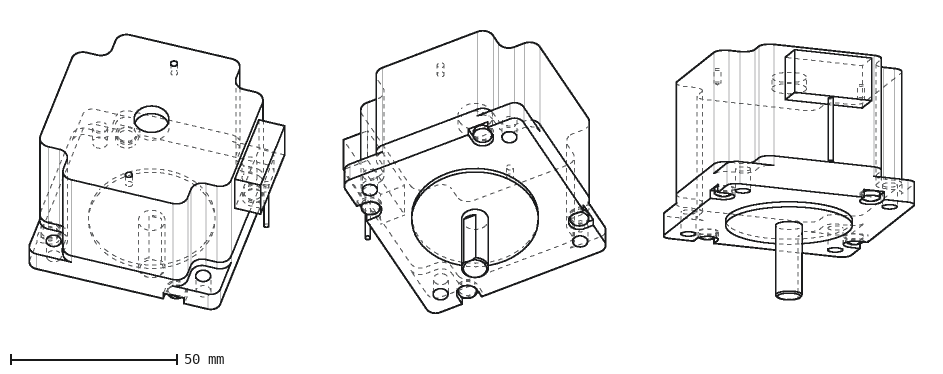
import cadquery as cq
import math


frame_side = 60.0
half_side = frame_side / 2
notch_size = 10.5
notch_radius = 3.5

plate_height = 7.0
plate_corner_radius = 3.05
collar_height = 3.0
seam_z = plate_height + collar_height
boss_diameter = 38.1
boss_height = 1.6
mount_hole_diameter = 4.5
mount_hole_offset = 23.5

screw_side_offset = 16.2
screw_edge_distance = 3.05
pocket_width = 6.55
pocket_height = 2.5
head_diameter = 5.6
head_rim_height = 1.45
head_dome_height = 0.9

shaft_diameter = 8.0
shaft_length = 22.35
shaft_chamfer = 0.5
flat_depth = 0.52
flat_start = 2.5

stator_height = 35.1
stator_top_z = seam_z + stator_height
center_hole_diameter = 10.5
center_hole_depth = 3.5
small_hole_diameter = 2.1
small_hole_offset = 23.05
small_hole_depth = 4.15
drill_point_angle = 118.0

connector_length = 8.15
connector_width = 24.6
connector_height = 13.4
connector_drop = 3.65
lead_diameter = 1.5
lead_x = 36.15
lead_length = 19.65


def notched_column(bottom_z, height):
    """Square column with a rounded notch along each vertical edge."""
    column = cq.Workplane("XY").workplane(offset=bottom_z).rect(frame_side, frame_side).extrude(height)
    notches = (
        cq.Workplane("XY")
        .workplane(offset=bottom_z)
        .rect(frame_side, frame_side, forConstruction=True)
        .vertices()
        .rect(2 * notch_size, 2 * notch_size)
        .extrude(height)
    )
    return column.cut(notches).edges("|Z").fillet(notch_radius)


def screw_pocket():
    """Round-ended slot that opens to the -Y side."""
    axis_y = screw_edge_distance - half_side
    round_end = (
        cq.Workplane("XY").center(screw_side_offset, axis_y).circle(pocket_width / 2).extrude(pocket_height)
    )
    opening = (
        cq.Workplane("XY")
        .center(screw_side_offset, axis_y - screw_edge_distance / 2)
        .rect(pocket_width, screw_edge_distance)
        .extrude(pocket_height)
    )
    return round_end.union(opening)


def screw_head():
    """Cylindrical head with a domed lower end, hanging from the pocket ceiling."""
    rim_radius = head_diameter / 2
    rim_z = pocket_height - head_rim_height
    dome_z = rim_z - head_dome_height
    dome_radius = (rim_radius**2 + head_dome_height**2) / (2 * head_dome_height)
    half_angle = math.asin(rim_radius / dome_radius) / 2
    dome_middle = (
        dome_radius * math.sin(half_angle),
        dome_z + dome_radius * (1 - math.cos(half_angle)),
    )
    profile = (
        cq.Workplane("XZ")
        .moveTo(0, pocket_height)
        .lineTo(rim_radius, pocket_height)
        .lineTo(rim_radius, rim_z)
        .threePointArc(dome_middle, (0, dome_z))
        .close()
    )
    return profile.revolve().translate((screw_side_offset, screw_edge_distance - half_side, 0))


def motor_shaft():
    """Chamfered shaft with a flat on its +Y side, starting at the mounting face."""
    tip_z = -boss_height - shaft_length
    flat_length = shaft_length - flat_start
    shaft = (
        cq.Workplane("XY")
        .workplane(offset=tip_z)
        .circle(shaft_diameter / 2)
        .extrude(-tip_z)
        .faces("<Z")
        .chamfer(shaft_chamfer)
    )
    flat_cut = (
        cq.Workplane("XY")
        .box(shaft_diameter, shaft_diameter, flat_length, centered=(True, False, False))
        .translate((0, shaft_diameter / 2 - flat_depth, tip_z))
    )
    return shaft.cut(flat_cut)


def make_flange():
    """Mounting flange with its boss, screw heads and the output shaft."""
    plate = (
        cq.Workplane("XY")
        .rect(frame_side, frame_side)
        .extrude(plate_height)
        .edges("|Z")
        .fillet(plate_corner_radius)
    )
    mount_holes = (
        cq.Workplane("XY")
        .rect(2 * mount_hole_offset, 2 * mount_hole_offset, forConstruction=True)
        .vertices()
        .circle(mount_hole_diameter / 2)
        .extrude(plate_height)
    )
    boss = cq.Workplane("XY").circle(boss_diameter / 2).extrude(-boss_height)
    body = plate.cut(mount_holes).union(notched_column(plate_height, collar_height)).union(boss)
    for angle in (0, 90, 180, 270):
        body = body.cut(screw_pocket().rotate((0, 0, 0), (0, 0, 1), angle))
        body = body.union(screw_head().rotate((0, 0, 0), (0, 0, 1), angle))
    return body.union(motor_shaft())


def small_hole():
    """Blind drilled hole with a conical end, going down from the stator top."""
    radius = small_hole_diameter / 2
    cone_height = radius / math.tan(math.radians(drill_point_angle / 2))
    return (
        cq.Workplane("XZ")
        .lineTo(radius, 0)
        .lineTo(radius, -small_hole_depth)
        .lineTo(0, -small_hole_depth - cone_height)
        .close()
        .revolve()
    )


def connector():
    """Plain connector block with one lead hanging from its underside."""
    connector_bottom_z = stator_top_z - connector_drop - connector_height
    block = (
        cq.Workplane("XY")
        .box(connector_length, connector_width, connector_height, centered=(False, True, False))
        .translate((half_side, 0, connector_bottom_z))
    )
    lead = (
        cq.Workplane("XY")
        .workplane(offset=connector_bottom_z)
        .center(lead_x, 0)
        .circle(lead_diameter / 2)
        .extrude(-lead_length)
    )
    return block.union(lead)


def make_stator():
    """Stator housing with the connector on its side."""
    body = notched_column(seam_z, stator_height)
    center_hole = (
        cq.Workplane("XY")
        .workplane(offset=stator_top_z)
        .circle(center_hole_diameter / 2)
        .extrude(-center_hole_depth)
    )
    body = body.cut(center_hole)
    for side in (-1, 1):
        body = body.cut(small_hole().translate((0, side * small_hole_offset, stator_top_z)))
    return body.union(connector())


flange = make_flange().solids()
stator = make_stator().solids()

result = cq.Compound.makeCompound([flange.val(), stator.val()])